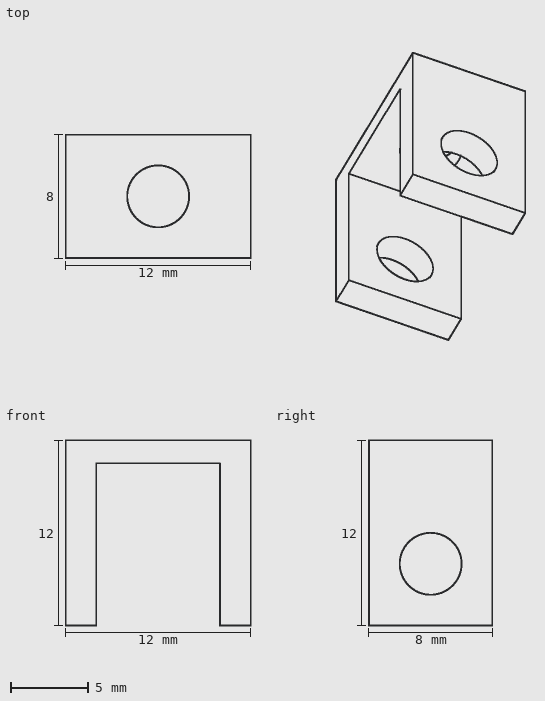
import cadquery as cq

width = 12.0
depth = 8.0
height = 12.0
leg_thickness = 2.0
top_thickness = 1.5
hole_diameter = 4.0
side_hole_height = 4.0

channel_width = width - 2 * leg_thickness
channel_height = height - top_thickness


def standing_box(box_width, box_height):
    """Full-depth box centred in X and Y, with its base at Z = 0."""
    return cq.Workplane("XY").box(box_width, depth, box_height, centered=(True, True, False))


bracket = standing_box(width, height).cut(standing_box(channel_width, channel_height))

top_hole = cq.Workplane("XY").circle(hole_diameter / 2).extrude(height)

leg_holes = (
    cq.Workplane("YZ")
    .center(0, side_hole_height)
    .circle(hole_diameter / 2)
    .extrude(width / 2, both=True)
)

result = bracket.cut(top_hole).cut(leg_holes)